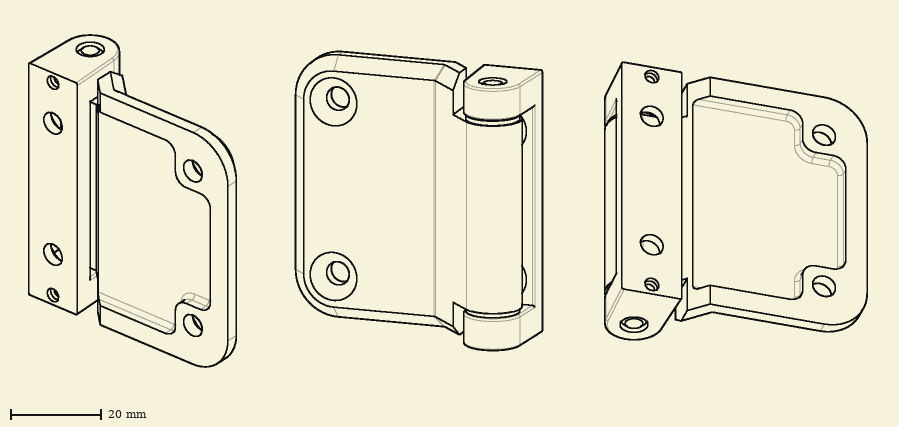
import cadquery as cq
import math


HINGE_LENGTH = 60.0
HINGE_WIDTH = 57.0
MID_Z = HINGE_LENGTH / 2
AXIS_Y = 13.0
KNUCKLE_RADIUS = 6.5

BASE_WIDTH = 14.0
KNUCKLE_LENGTH = 7.3
BASE_THICKNESS = 5.0
EDGE_FILLET = 0.5
BRACKET_BORE = 6.2
SCREW_HOLE = 5.2
SCREW_HOLE_INSET = 13.0
BRACKET_COUNTERSINK = 10.0
LOCK_HOLE = 3.2
LOCK_HOLE_FLOOR = 2.35
LOCK_HOLE_INSET = 2.5
LOCK_HOLE_DEPTH = 1.15
LOCK_HOLE_TIP = 0.7

PIN_DIAMETER = 6.0
PIN_CHAMFER = 1.0
PIN_RECESS = 0.3
BUSHING_BORE = 6.2
BUSHING_OUTSIDE = 7.8
FLANGE_DIAMETER = 12.0
FLANGE_THICKNESS = 1.0
BUSHING_LENGTH = 9.0

BARREL_INSET = 8.5
BARREL_BORE = 8.0
LEAF_THICKNESS = 6.0
LEAF_START_X = 9.5
CRANK_FOOT_X = 13.5
LEAF_CORNER_RADIUS = 10.0
LEAF_BEVEL = 3.0
CRANK_FILLET = 0.6
LEAF_HOLE = 5.3
LEAF_HOLE_INSET = 10.0
LEAF_COUNTERSINK = 11.0

POCKET_DEPTH = 3.0
POCKET_INSET = 5.0
POCKET_CORNER_RADIUS = 3.0
POCKET_FLOOR_FILLET = 1.0
BOSS_SIDE = 10.0

HALF_BASE = BASE_WIDTH / 2
KNUCKLE_TOP_Y = AXIS_Y + KNUCKLE_RADIUS
LEAF_END_X = HINGE_WIDTH - HALF_BASE
BARREL_LENGTH = HINGE_LENGTH - 2 * BARREL_INSET
SLOT_LENGTH = HINGE_LENGTH - 2 * KNUCKLE_LENGTH
TANGENT_OFFSET = KNUCKLE_RADIUS / math.sqrt(2)
CRANK_TOP_SUM = AXIS_Y + 2 * TANGENT_OFFSET
BEND_X = CRANK_TOP_SUM - LEAF_THICKNESS

MARGIN = 0.05


def bar_along_z(diameter, z_start, length):
    """Round bar on the pin axis."""
    return cq.Workplane("XY", origin=(0, AXIS_Y, z_start)).circle(diameter / 2).extrude(length)


def holes_along_y(x, inset, diameter, depth):
    """Pair of round cuts entering from Y = 0, at the same distance from both hinge ends."""
    half_spacing = MID_Z - inset
    return (
        cq.Workplane("XZ", origin=(x, 0, MID_Z))
        .pushPoints([(0, -half_spacing), (0, half_spacing)])
        .circle(diameter / 2)
        .extrude(-depth)
    )


def cones_along_y(x, inset, y_start, start_diameter, end_diameter, depth):
    """Pair of conical cuts whose diameter changes from y_start over the given depth."""
    cones = cq.Workplane("XY")
    for z in (inset, HINGE_LENGTH - inset):
        start = cq.Vector(x, y_start, z)
        direction = cq.Vector(0, 1, 0)
        cones.add(cq.Solid.makeCone(start_diameter / 2, end_diameter / 2, depth, start, direction))
    return cones.combine()


def countersinks(x, inset, bore, head, face_y):
    """Pair of 90 degree countersinks that open at the face Y = face_y."""
    depth = (head - bore) / 2
    return cones_along_y(x, inset, face_y - depth, bore, head, depth)


def bracket_blank():
    """Tapered sides, each tangent to the round knuckle top."""
    foot_distance = math.hypot(HALF_BASE, AXIS_Y)
    tangent_angle = math.acos(KNUCKLE_RADIUS / foot_distance) - math.atan2(AXIS_Y, HALF_BASE)
    tangent_x = KNUCKLE_RADIUS * math.cos(tangent_angle)
    tangent_y = AXIS_Y + KNUCKLE_RADIUS * math.sin(tangent_angle)
    return (
        cq.Workplane("XY")
        .moveTo(-HALF_BASE, 0)
        .lineTo(HALF_BASE, 0)
        .lineTo(tangent_x, tangent_y)
        .threePointArc((0, KNUCKLE_TOP_Y), (-tangent_x, tangent_y))
        .close()
        .extrude(HINGE_LENGTH)
    )


def bracket_slot():
    """Gap between the two knuckles that takes the barrel of the leaf."""
    slot_height = KNUCKLE_TOP_Y - BASE_THICKNESS
    slot = cq.Workplane("XY").box(BASE_WIDTH, slot_height, SLOT_LENGTH, centered=(True, False, True))
    return slot.translate((0, BASE_THICKNESS, MID_Z))


def lock_holes():
    """Blind holes into the knuckles, narrowing to a flat floor."""
    holes = holes_along_y(0, LOCK_HOLE_INSET, LOCK_HOLE, LOCK_HOLE_DEPTH)
    tips = cones_along_y(
        0, LOCK_HOLE_INSET, LOCK_HOLE_DEPTH, LOCK_HOLE, LOCK_HOLE_FLOOR, LOCK_HOLE_TIP
    )
    return holes.union(tips)


def make_bracket():
    """Base with a knuckle at each end, rounded along the knuckle and slot edges."""
    body = bracket_blank().cut(bracket_slot())
    end_rims = cq.selectors.BoxSelector(
        (-BASE_WIDTH, MARGIN, -MARGIN),
        (BASE_WIDTH, KNUCKLE_TOP_Y + MARGIN, HINGE_LENGTH + MARGIN),
    )
    body = body.faces("<Z or >Z").edges(end_rims).fillet(EDGE_FILLET)
    slot_edges = cq.selectors.BoxSelector(
        (-BASE_WIDTH, BASE_THICKNESS - MARGIN, KNUCKLE_LENGTH - MARGIN),
        (BASE_WIDTH, KNUCKLE_TOP_Y + MARGIN, HINGE_LENGTH - KNUCKLE_LENGTH + MARGIN),
        boundingbox=True,
    )
    body = body.edges(slot_edges).edges("not |X").fillet(EDGE_FILLET)
    body = body.cut(bar_along_z(BRACKET_BORE, 0, HINGE_LENGTH))
    body = body.cut(holes_along_y(0, SCREW_HOLE_INSET, SCREW_HOLE, BASE_THICKNESS))
    body = body.cut(
        countersinks(0, SCREW_HOLE_INSET, SCREW_HOLE, BRACKET_COUNTERSINK, BASE_THICKNESS)
    )
    return body.cut(lock_holes())


def make_pin():
    """Pin with chamfered ends, set slightly below the knuckle ends."""
    pin = bar_along_z(PIN_DIAMETER, PIN_RECESS, HINGE_LENGTH - 2 * PIN_RECESS)
    return pin.faces("<Z or >Z").chamfer(PIN_CHAMFER)


def make_bushing(at_top):
    """Flange against one end of the barrel, sleeve inside the barrel."""
    bushing = bar_along_z(FLANGE_DIAMETER, BARREL_INSET - FLANGE_THICKNESS, FLANGE_THICKNESS)
    bushing = bushing.union(bar_along_z(BUSHING_OUTSIDE, BARREL_INSET, BUSHING_LENGTH))
    bushing = bushing.cut(bar_along_z(BUSHING_BORE, 0, HINGE_LENGTH))
    if at_top:
        bushing = bushing.mirror("XY", (0, 0, MID_Z))
    return bushing


def leaf_plate():
    """Flat plate with its cranked edge, cut off square next to the bracket and bevelled around."""
    plate = (
        cq.Workplane("XY")
        .moveTo(LEAF_START_X, CRANK_FOOT_X - LEAF_START_X)
        .lineTo(CRANK_FOOT_X, 0)
        .lineTo(LEAF_END_X, 0)
        .lineTo(LEAF_END_X, LEAF_THICKNESS)
        .lineTo(BEND_X, LEAF_THICKNESS)
        .lineTo(LEAF_START_X, CRANK_TOP_SUM - LEAF_START_X)
        .close()
        .extrude(HINGE_LENGTH)
    )
    plate = plate.edges("|Y and >X").fillet(LEAF_CORNER_RADIUS)
    bevel_zone = cq.selectors.BoxSelector(
        (LEAF_START_X + MARGIN, LEAF_THICKNESS - MARGIN, -MARGIN),
        (LEAF_END_X + MARGIN, KNUCKLE_TOP_Y, HINGE_LENGTH + MARGIN),
    )
    plate = plate.edges(bevel_zone).edges("(not |Z) or >X").chamfer(LEAF_BEVEL)
    bend_zone = cq.selectors.BoxSelector(
        (BEND_X - LEAF_BEVEL / 2, LEAF_THICKNESS - LEAF_BEVEL + MARGIN, -MARGIN),
        (BEND_X + MARGIN, LEAF_THICKNESS + MARGIN, HINGE_LENGTH + MARGIN),
    )
    return plate.edges(bend_zone).fillet(CRANK_FILLET)


def leaf_barrel():
    """Barrel on the pin axis with the neck that joins it to the plate."""
    barrel_bottom = AXIS_Y - KNUCKLE_RADIUS
    return (
        cq.Workplane("XY", origin=(0, 0, BARREL_INSET))
        .moveTo(0, barrel_bottom)
        .lineTo(CRANK_FOOT_X - barrel_bottom, barrel_bottom)
        .lineTo(LEAF_START_X, CRANK_FOOT_X - LEAF_START_X)
        .lineTo(LEAF_START_X, CRANK_TOP_SUM - LEAF_START_X)
        .lineTo(TANGENT_OFFSET, AXIS_Y + TANGENT_OFFSET)
        .threePointArc((-KNUCKLE_RADIUS, AXIS_Y), (0, barrel_bottom))
        .close()
        .extrude(BARREL_LENGTH)
    )


def leaf_pocket():
    """T-shaped recess that leaves a boss around each screw hole and runs out into the crank."""
    wide_half = MID_Z - POCKET_INSET
    narrow_half = wide_half - BOSS_SIDE
    end_x = LEAF_END_X - POCKET_INSET
    step_x = end_x - BOSS_SIDE
    pocket = (
        cq.Workplane("XZ", origin=(0, 0, MID_Z))
        .moveTo(LEAF_START_X, -wide_half)
        .lineTo(step_x, -wide_half)
        .lineTo(step_x, -narrow_half)
        .lineTo(end_x, -narrow_half)
        .lineTo(end_x, narrow_half)
        .lineTo(step_x, narrow_half)
        .lineTo(step_x, wide_half)
        .lineTo(LEAF_START_X, wide_half)
        .close()
        .extrude(-POCKET_DEPTH)
    )
    pocket = pocket.edges("|Y and (not <X)").fillet(POCKET_CORNER_RADIUS)
    return pocket.faces(">Y").edges("not <X").fillet(POCKET_FLOOR_FILLET)


def make_leaf():
    """Plate and barrel in one piece, bored for the bushings and drilled for two screws."""
    leaf = leaf_plate().union(leaf_barrel())
    leaf = leaf.cut(bar_along_z(BARREL_BORE, 0, HINGE_LENGTH))
    hole_x = LEAF_END_X - LEAF_HOLE_INSET
    leaf = leaf.cut(holes_along_y(hole_x, LEAF_HOLE_INSET, LEAF_HOLE, LEAF_THICKNESS))
    leaf = leaf.cut(
        countersinks(hole_x, LEAF_HOLE_INSET, LEAF_HOLE, LEAF_COUNTERSINK, LEAF_THICKNESS)
    )
    return leaf.cut(leaf_pocket())


bracket = make_bracket()
leaf = make_leaf()
pin = make_pin()
bushings = [make_bushing(at_top).val() for at_top in (False, True)]

result = cq.Compound.makeCompound([bracket.val(), leaf.val(), pin.val(), *bushings])